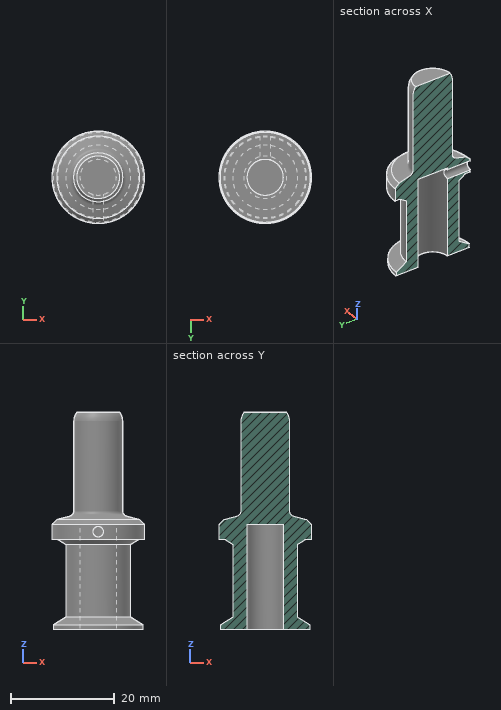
import cadquery as cq
import math

total_height = 42.2

base_radius = 8.75
base_rim_height = 0.93
neck_radius = 6.3
neck_bottom_z = 2.45
neck_top_z = 16.45

collar_radius = 9.0
collar_bottom_z = 17.43
collar_top_z = 20.4
collar_chamfer = 0.95
under_cone_radius = 7.85

shoulder_slope = math.radians(15)
pin_radius = 4.75
pin_root_fillet = 1.0
tip_radius = 4.15
tip_rounding_height = 1.8

bore_radius = 3.5
bore_depth = collar_top_z
vent_radius = 1.0
vent_z = 19.0

shoulder_radius = collar_radius - collar_chamfer
shoulder_z = collar_top_z + collar_chamfer

fillet_center_r = pin_radius + pin_root_fillet
fillet_start_r = fillet_center_r - pin_root_fillet * math.sin(shoulder_slope)
fillet_start_z = shoulder_z + (shoulder_radius - fillet_start_r) * math.tan(shoulder_slope)
fillet_center_z = fillet_start_z + pin_root_fillet * math.cos(shoulder_slope)

tip_step = pin_radius - tip_radius
tip_arc_radius = (tip_step**2 + tip_rounding_height**2) / (2 * tip_step)


def make_body():
    """Revolve the half profile about Z."""
    profile = (
        cq.Workplane("XZ")
        .moveTo(0, 0)
        .lineTo(base_radius, 0)
        .lineTo(base_radius, base_rim_height)
        .lineTo(neck_radius, neck_bottom_z)
        .lineTo(neck_radius, neck_top_z)
        .lineTo(under_cone_radius, collar_bottom_z)
        .lineTo(collar_radius, collar_bottom_z)
        .lineTo(collar_radius, collar_top_z)
        .lineTo(shoulder_radius, shoulder_z)
        .lineTo(fillet_start_r, fillet_start_z)
        .radiusArc((pin_radius, fillet_center_z), pin_root_fillet)
        .lineTo(pin_radius, total_height - tip_rounding_height)
        .radiusArc((tip_radius, total_height), -tip_arc_radius)
        .lineTo(0, total_height)
        .close()
    )
    return profile.revolve(360, (0, 0, 0), (0, 1, 0))


def make_bore():
    """Blind axial bore rising from the base into the collar."""
    return cq.Workplane("XY").circle(bore_radius).extrude(bore_depth)


def make_vent():
    """Radial hole from the -Y side of the collar to the bore, ending on the axis."""
    return (
        cq.Workplane("XZ", origin=(0, 0, vent_z))
        .circle(vent_radius)
        .extrude(collar_radius)
    )


result = make_body().cut(make_bore()).cut(make_vent())